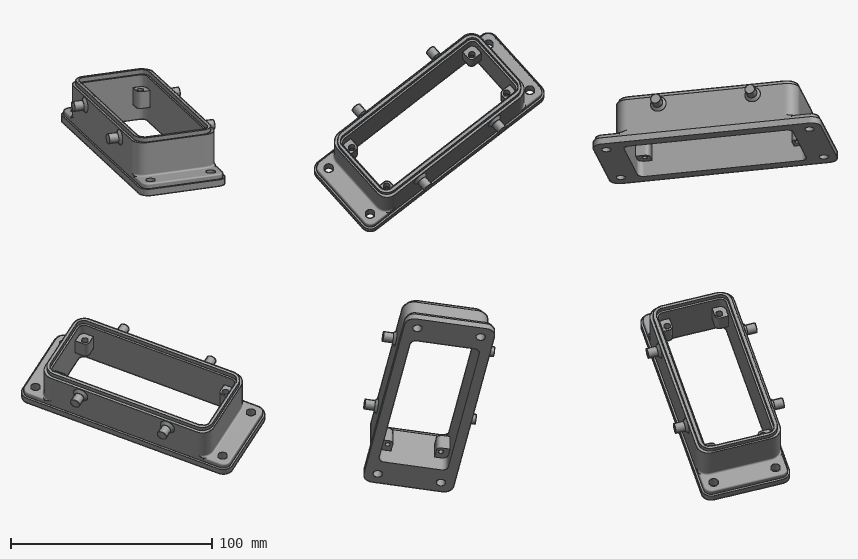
import cadquery as cq

flange_length = 116.0
flange_width = 45.5
flange_corner_radius = 5.0
foot_height = 3.5
step_inset = 1.0
step_top = 5.9
step_length = flange_length - 2 * step_inset
step_width = flange_width - 2 * step_inset
step_edge_fillet = 0.8

body_length = 93.0
body_width = step_width
body_corner_radius = 6.1
body_root_fillet = 0.9
shoulder_height = 23.8

rim_length = 91.2
rim_width = 40.6
rim_corner_radius = 6.0
total_height = 26.0

opening_length = 86.1
opening_width = 35.0
opening_corner_radius = 3.0
ledge_width = 1.0
ledge_depth = 2.3

mount_hole_diameter = 4.6
mount_hole_x = 51.7
mount_hole_y = 16.0

boss_inner_x = 36.2
boss_inner_y = 11.0
boss_corner_radius = 2.2
boss_top = 17.4
boss_height = 8.9
boss_hole_x = 38.9
boss_hole_y = 13.5
boss_hole_diameter = 2.4
boss_counterbore_diameter = 3.2
boss_counterbore_depth = boss_height / 2

pin_x = 24.0
pin_z = 19.5
pin_diameter = 5.0
pin_radius = pin_diameter / 2
pin_cone_radius = 4.0
pin_span = 56.0

joint_overlap = 1.2


def rounded_block(length, width, corner_radius, bottom, top):
    """Block centred on the Z axis with rounded vertical corners."""
    block = cq.Workplane("XY", origin=(0, 0, bottom)).rect(length, width).extrude(top - bottom)
    return block.edges("|Z").fillet(corner_radius)


def mirrored_points(x, y):
    """One point in each quadrant."""
    return [(side_x * x, side_y * y) for side_x in (-1, 1) for side_y in (-1, 1)]


def make_flange():
    foot = rounded_block(flange_length, flange_width, flange_corner_radius, 0, foot_height)
    step_corner_radius = flange_corner_radius - step_inset
    step = rounded_block(step_length, step_width, step_corner_radius, foot_height, step_top)
    return foot.union(step.faces(">Z").edges().fillet(step_edge_fillet))


def make_body():
    """Hood body whose root flares into the step and is trimmed flush at the long sides."""
    body = rounded_block(body_length, body_width, body_corner_radius, foot_height, shoulder_height)
    plate = cq.Workplane("XY").rect(flange_length, flange_length).extrude(step_top)
    root_edges = "not(<X or >X or <Y or >Y)"
    flared = plate.union(body).faces("<Z[1]").edges(root_edges).fillet(body_root_fillet)
    flare_outline = rounded_block(
        body_length + 2 * body_root_fillet,
        body_width + 2 * body_root_fillet,
        body_corner_radius + body_root_fillet,
        foot_height,
        shoulder_height,
    )
    side_trim = cq.Workplane("XY").rect(flange_length, body_width).extrude(shoulder_height)
    return flared.intersect(flare_outline).intersect(side_trim)


def make_rim():
    return rounded_block(rim_length, rim_width, rim_corner_radius, shoulder_height, total_height)


def make_opening():
    """Through opening with the wider recess at its top."""
    opening = rounded_block(opening_length, opening_width, opening_corner_radius, 0, total_height)
    recess = rounded_block(
        opening_length + 2 * ledge_width,
        opening_width + 2 * ledge_width,
        opening_corner_radius + ledge_width,
        total_height - ledge_depth,
        total_height,
    )
    return opening.union(recess)


def make_bosses():
    """Four corner blocks reaching into the opening walls, each with its free vertical edge rounded."""
    outer_length = opening_length + 2 * joint_overlap
    outer_width = opening_width + 2 * joint_overlap
    bottom = boss_top - boss_height
    slab = cq.Workplane("XY", origin=(0, 0, bottom)).rect(outer_length, outer_width).extrude(boss_height)
    lengthwise_gap = cq.Workplane("XY").rect(outer_length, 2 * boss_inner_y).extrude(boss_top)
    crosswise_gap = cq.Workplane("XY").rect(2 * boss_inner_x, outer_width).extrude(boss_top)
    bosses = slab.cut(lengthwise_gap).cut(crosswise_gap)
    inner_edges = cq.selectors.BoxSelector(
        (-boss_inner_x - joint_overlap, -boss_inner_y - joint_overlap, 0),
        (boss_inner_x + joint_overlap, boss_inner_y + joint_overlap, total_height),
    )
    return bosses.edges("|Z").edges(inner_edges).fillet(boss_corner_radius)


def make_pins():
    wall = body_width / 2
    root = wall - joint_overlap
    tip = pin_span / 2
    cone_end = wall + pin_cone_radius - pin_radius
    profile = [
        (0, root),
        (pin_cone_radius, root),
        (pin_cone_radius, wall),
        (pin_radius, cone_end),
        (pin_radius, tip),
        (0, tip),
    ]
    pin = cq.Workplane("XY").polyline(profile).close().revolve(360, (0, 0, 0), (0, 1, 0))
    pins = cq.Workplane("XY")
    for x in (-pin_x, pin_x):
        placed = pin.translate((x, 0, pin_z))
        pins = pins.add(placed).add(placed.mirror("XZ"))
    return pins.combine()


def make_holes(points, diameter, bottom, top):
    """Vertical cylinders to cut at the given points."""
    base = cq.Workplane("XY", origin=(0, 0, bottom)).pushPoints(points)
    return base.circle(diameter / 2).extrude(top - bottom)


mount_points = mirrored_points(mount_hole_x, mount_hole_y)
boss_points = mirrored_points(boss_hole_x, boss_hole_y)
counterbore_bottom = boss_top - boss_counterbore_depth

result = make_flange().union(make_body()).union(make_rim())
result = result.cut(make_opening())
result = result.union(make_bosses()).union(make_pins())
result = result.cut(make_holes(mount_points, mount_hole_diameter, 0, step_top))
result = result.cut(make_holes(boss_points, boss_hole_diameter, 0, boss_top))
result = result.cut(make_holes(boss_points, boss_counterbore_diameter, counterbore_bottom, boss_top))